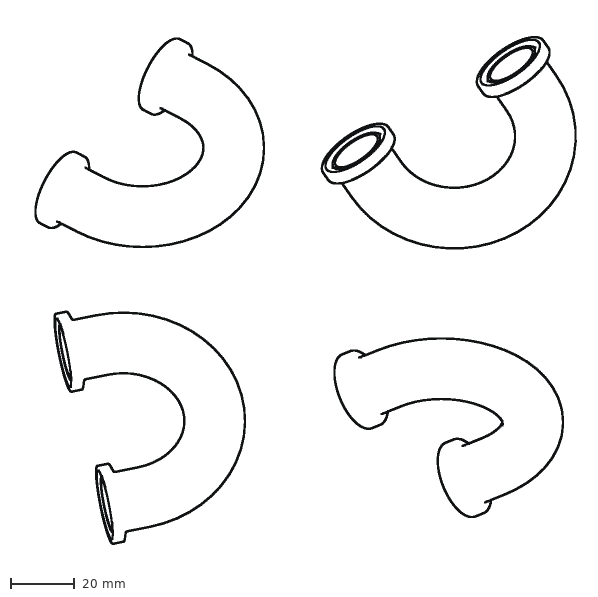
import cadquery as cq
import math


overall_width = 82.1
flange_diameter = 25.0
tube_diameter = 19.05
bore_diameter = 15.8
ferrule_length = 12.65

flange_radius = flange_diameter / 2
tube_radius = tube_diameter / 2
bore_radius = bore_diameter / 2
bend_radius = (overall_width - flange_diameter) / 2

cone_start = 3.6
cone_slope_angle = 20.0
front_edge_round = 0.3
back_edge_round = 0.5
root_fillet = 1.0

groove_outer_radius = 21.9 / 2
groove_slope_outer_radius = 19.05 / 2
land_outer_radius = 17.6 / 2
groove_wall_depth = 1.3
groove_slope_angle = 35.0

pick_margin = 0.1


def circle_at(x, radius):
    """Selector for the circular edge of the given radius about the X axis."""
    return cq.selectors.BoxSelector(
        (x - pick_margin, -radius - pick_margin, -radius - pick_margin),
        (x + pick_margin, radius + pick_margin, radius + pick_margin),
        boundingbox=True,
    )


def ferrule_blank():
    """Flange and tube stub, solid, revolved about the X axis."""
    cone_rise = (flange_radius - tube_radius) * math.tan(math.radians(cone_slope_angle))
    blank = (
        cq.Workplane("XY")
        .lineTo(0, flange_radius)
        .lineTo(cone_start, flange_radius)
        .lineTo(cone_start + cone_rise, tube_radius)
        .lineTo(ferrule_length, tube_radius)
        .lineTo(ferrule_length, 0)
        .close()
        .revolve(360, (0, 0, 0), (1, 0, 0))
    )
    blank = blank.edges(circle_at(cone_start + cone_rise, tube_radius)).fillet(root_fillet)
    blank = blank.edges(circle_at(cone_start, flange_radius)).fillet(back_edge_round)
    return blank.edges(circle_at(0, flange_radius)).fillet(front_edge_round)


def face_recess():
    """Material removed from the flange face: the gasket groove and the space ahead of the land."""
    slope = math.radians(groove_slope_angle)
    floor_radius = (groove_outer_radius - groove_slope_outer_radius) / (1 + math.cos(slope))
    floor_center = groove_outer_radius - floor_radius
    slope_bottom = groove_wall_depth + floor_radius * math.sin(slope)
    land_depth = slope_bottom - (groove_slope_outer_radius - land_outer_radius) / math.tan(slope)
    return (
        cq.Workplane("XY")
        .lineTo(0, groove_outer_radius)
        .lineTo(groove_wall_depth, groove_outer_radius)
        .threePointArc(
            (groove_wall_depth + floor_radius, floor_center),
            (slope_bottom, groove_slope_outer_radius),
        )
        .lineTo(land_depth, land_outer_radius)
        .lineTo(land_depth, 0)
        .close()
        .revolve(360, (0, 0, 0), (1, 0, 0))
    )


def ferrule():
    """One ferrule centred on the X axis, with its face at X = 0."""
    bore = cq.Workplane("YZ").circle(bore_radius).extrude(ferrule_length)
    return ferrule_blank().cut(face_recess()).cut(bore)


def return_bend():
    """Half-turn of tube joining the two ferrule ends."""
    return (
        cq.Workplane("YZ", origin=(ferrule_length, -bend_radius, 0))
        .circle(tube_radius)
        .circle(bore_radius)
        .revolve(180, (bend_radius, 0, 0), (bend_radius, 1, 0))
    )


result = return_bend()
for side in (-1, 1):
    result = result.union(ferrule().translate((0, side * bend_radius, 0)))